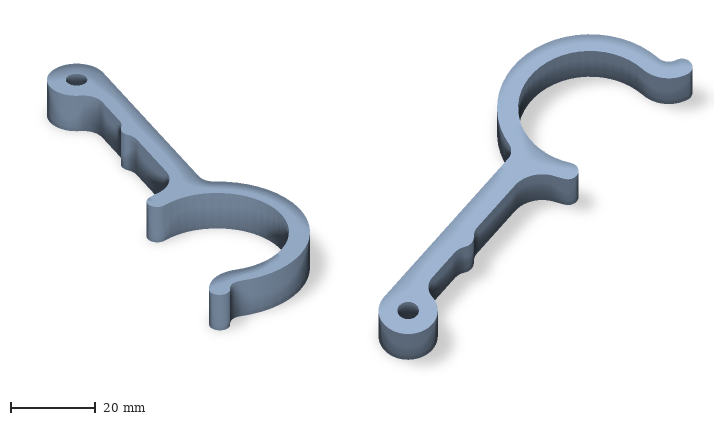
import cadquery as cq
import math

overall_length = 106.3

pivot_radius = 7.0
pivot_hole_radius = 2.5
thickness = 10.0

lever_height = 6.0
lever_top = pivot_radius
lever_bottom = lever_top - lever_height
eye_fillet = 5.0

bump_x = 25.1
bump_radius = 3.0
bump_fillet = 4.5
bump_depth = 1.6

ring_inner = 17.0
ring_wall = 5.0
ring_outer = ring_inner + ring_wall
ring_middle = ring_inner + ring_wall / 2
top_fillet = 4.0
bottom_fillet = 8.0
finger_angle = 200

lip_start_angle = -12
lip_bend_inner = 3.3
lip_bend_outer = lip_bend_inner + ring_wall
lip_slope = -22
lip_normal = lip_slope + 270


def polar(center, radius, degrees):
    """Point at a distance and direction from a centre."""
    angle = math.radians(degrees)
    return (center[0] + radius * math.cos(angle), center[1] + radius * math.sin(angle))


def locate_tip(lip_center):
    """Centre of the rounded tip for a given centre of the lip bend."""
    return polar(lip_center, (lip_bend_inner + lip_bend_outer) / 2, lip_normal)


def direction(start, end):
    """Direction in degrees from one point to another, from 0 to 360."""
    return math.degrees(math.atan2(end[1] - start[1], end[0] - start[0])) % 360


def arc(sketch, center, radius, start, end):
    """Continue the outline along a circle between two directions."""
    return sketch.threePointArc(polar(center, radius, (start + end) / 2), polar(center, radius, end))


def fillet_center(circle_center, circle_radius, fillet, level, side):
    """Centre of a fillet touching a circle and a horizontal edge.

    side is -1 or 1 for a fillet left or right of the circle.
    """
    reach = math.sqrt((circle_radius + fillet) ** 2 - (level - circle_center[1]) ** 2)
    return (circle_center[0] + side * reach, level)


lip_offset = polar((0, 0), ring_outer + lip_bend_inner, lip_start_angle)
lip_reach = locate_tip(lip_offset)[0] + ring_wall / 2
ring_center = (overall_length - pivot_radius - lip_reach, 0)
lip_center = (ring_center[0] + lip_offset[0], lip_offset[1])
tip_center = locate_tip(lip_center)


def make_outline():
    eye_center = (0, 0)
    bump_center = (bump_x, lever_bottom - bump_depth + bump_radius)
    eye_corner = fillet_center(eye_center, pivot_radius, eye_fillet, lever_bottom - eye_fillet, 1)
    bump_left = fillet_center(bump_center, bump_radius, bump_fillet, lever_bottom - bump_fillet, -1)
    bump_right = fillet_center(bump_center, bump_radius, bump_fillet, lever_bottom - bump_fillet, 1)
    lower_corner = fillet_center(ring_center, ring_outer, bottom_fillet, lever_bottom - bottom_fillet, -1)
    upper_corner = fillet_center(ring_center, ring_outer, top_fillet, lever_top + top_fillet, -1)
    finger_center = polar(ring_center, ring_middle, finger_angle)

    sketch = cq.Workplane("XY").moveTo(0, lever_top)

    sketch = arc(sketch, eye_center, pivot_radius, 90, direction(eye_center, eye_corner))
    sketch = arc(sketch, eye_corner, eye_fillet, direction(eye_corner, eye_center), 90)
    sketch = sketch.lineTo(bump_left[0], lever_bottom)
    sketch = arc(sketch, bump_left, bump_fillet, 90, direction(bump_left, bump_center))
    sketch = arc(sketch, bump_center, bump_radius,
                 direction(bump_center, bump_left), direction(bump_center, bump_right))
    sketch = arc(sketch, bump_right, bump_fillet, direction(bump_right, bump_center), 90)
    sketch = sketch.lineTo(lower_corner[0], lever_bottom)

    sketch = arc(sketch, lower_corner, bottom_fillet, 90, direction(lower_corner, ring_center))
    sketch = arc(sketch, ring_center, ring_outer, direction(ring_center, lower_corner), finger_angle)
    sketch = arc(sketch, finger_center, ring_wall / 2, finger_angle, finger_angle + 180)
    sketch = arc(sketch, ring_center, ring_inner, finger_angle, lip_start_angle)

    lip_bend_start = lip_start_angle + 180
    sketch = arc(sketch, lip_center, lip_bend_outer, lip_bend_start, lip_normal)
    sketch = arc(sketch, tip_center, ring_wall / 2, lip_normal, lip_normal + 180)
    sketch = arc(sketch, lip_center, lip_bend_inner, lip_normal, lip_bend_start)

    sketch = arc(sketch, ring_center, ring_outer, lip_start_angle, direction(ring_center, upper_corner))
    sketch = arc(sketch, upper_corner, top_fillet, direction(upper_corner, ring_center) - 360, -90)
    return sketch.close()


body = make_outline().extrude(thickness)
pivot_hole = cq.Workplane("XY").circle(pivot_hole_radius).extrude(thickness)
result = body.cut(pivot_hole)